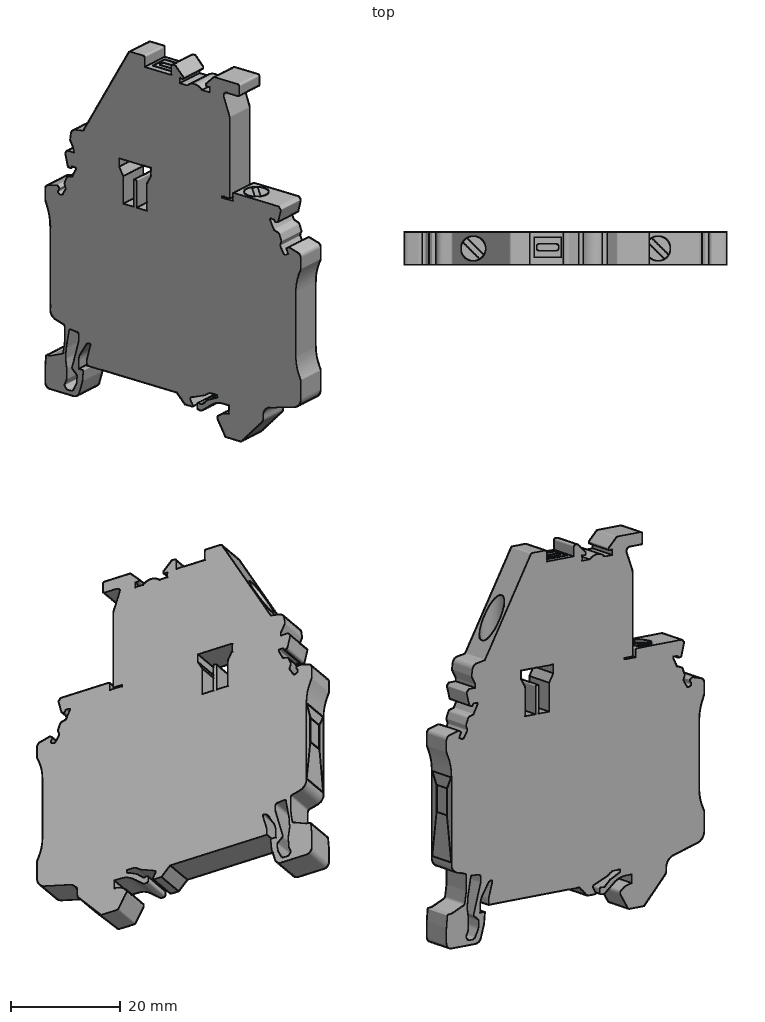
import cadquery as cq
import math

WIDTH = 58.75
HEIGHT = 71.55
THICKNESS = 6.0

SIDE_INSET = 1.15
SHOULDER_TOP_RIGHT = 49.8
SHOULDER_TOP_LEFT = 48.2
TOWER_RIGHT = 42.4
RAIL_Z = 6.9
LABEL_SEAT_Z = 69.4
LABEL_SEAT_LEFT = 22.9
LABEL_SEAT_RIGHT = 29.0
CLIP_AXIS = 34.35
CLIP_FLOOR_Z = 68.25
CLIP_HOOK_Z = 69.25

SCREW_DIAMETER = 4.5
SCREW_SLOT_WIDTH = 1.1
SCREW_SLOT_ANGLE = -45.0
LEFT_SCREW_X = 12.6
RIGHT_SCREW_X = 46.2
BORE_FLAT_WIDTH = 0.7

MARK_DEPTH = 0.1
LABEL_CENTER_X = 26.1
LABEL_CENTER_Y = 0.2
LABEL_LENGTH = 4.95
LABEL_BREADTH = 3.6
LABEL_SLOT_LENGTH = 4.0
LABEL_SLOT_BREADTH = 1.2
LABEL_SLOT_RADIUS = 0.4

WAIST_LEVELS = (16.2, 24.75, 29.85, 32.2)
WAIST_HALF_WIDTH = 1.6
WAIST_END_HALF_WIDTH = 2.85

WINDOW_X = 20.7
WINDOW_TOP = 49.8
WINDOW_BOTTOM = 41.1
WINDOW_WIDE_HALF = 3.65
WINDOW_NARROW_HALF = 2.7
WINDOW_TAPER_TOP = 48.15
WINDOW_TAPER_BOTTOM = 46.5
TONGUE_WIDTH = 0.7
TONGUE_TOP = 46.6


SHOULDER = [
    (5.1, 0.0, 0.15),
    (4.6, 0.6, 0.15),
    (5.2, 3.15, 0.35),
    (5.9, 3.35, 0.15),
    (6.15, 2.85, 0.1),
    (7.2, 2.85, 0.2),
    (6.15, 4.95, 0.35),
    (5.0, 5.2, 0.7),
    (4.45, 6.7, 0.15),
    (4.8, 7.65, 0.2),
    (3.8, 9.3, 0.4),
    (2.85, 8.8, 0.3),
    (3.35, 7.9, 0.15),
    (2.8, 7.45, 0.3),
    (0.0, 8.15, 0.9),
    (0.0, 11.1, 0.4),
    (SIDE_INSET, 13.9, 10.0),
]

LEFT_HEAD = [
    (6.6, SHOULDER_TOP_LEFT),
    (6.6, 48.9, 0.15),
    (5.7, 50.5, 0.3),
    (6.0, 52.65, 1.3),
    (8.7, 53.1, 0.35),
]

LABEL_SEAT = [
    (19.3, HEIGHT, 0.4),
    (LABEL_SEAT_LEFT, HEIGHT, 0.35),
    (LABEL_SEAT_LEFT, LABEL_SEAT_Z),
    (LABEL_SEAT_RIGHT, LABEL_SEAT_Z),
    (LABEL_SEAT_RIGHT, HEIGHT, 0.4),
]

CLIP = [
    (4.45, HEIGHT, 0.4),
    (2.6, 69.7, 0.15),
    (2.65, CLIP_HOOK_Z, 0.15),
    (3.4, CLIP_HOOK_Z, 0.0),
    (3.4, CLIP_FLOOR_Z, 0.0),
]
DOME_HALF_WIDTH = 1.7
DOME_HEIGHT = 0.7

TOWER_SIDE = [
    (44.65, HEIGHT, 0.4),
    (44.65, 69.2, 0.35),
    (40.7, 69.2, 0.7),
    (TOWER_RIGHT, 64.55, 0.7),
    (TOWER_RIGHT, 48.45),
    (40.65, 48.45),
    (40.65, 48.15),
    (43.15, 48.15),
    (43.15, SHOULDER_TOP_RIGHT, 0.2),
]

RIGHT_FOOT = [
    (WIDTH - SIDE_INSET, 19.2, 8.6),
    (WIDTH, 16.75, 0.2),
    (WIDTH, 11.4, 2.15),
    (50.1, 9.1, 2.15),
    (50.1, 6.45, 1.1),
    (45.0, 1.0, 0.2),
    (41.4, 1.0, 0.4),
    (39.35, 4.5, 0.65),
    (40.8, 5.5, 1.4),
    (42.2, 5.8),
    (42.2, 7.45),
]

SPRING_FINGER = [
    (39.35, 7.45, 4.3),
    (35.9, 4.7, 0.35),
    (34.9, 4.8, 0.4),
    (34.9, 6.2, 0.35),
    (35.9, 6.0, 0.15),
    (37.3, 7.2, 1.4),
    (39.6, 8.3, 0.2),
    (39.6, 8.8, 0.15),
    (37.8, 8.8, 0.7),
    (36.6, 8.0, 1.4),
    (33.2, 6.65, 0.35),
    (34.1, 5.0, 0.2),
    (32.1, 5.0),
    (30.3, RAIL_Z),
]

LEFT_FOOT = [
    (9.6, RAIL_Z),
    (9.6, 8.0, 2.15),
    (10.5, 11.4, 0.2),
    (9.7, 11.4, 0.7),
    (7.7, 8.15, 2.85),
    (7.7, 5.7),
    (8.8, 5.7, 0.15),
    (8.6, 3.4, 2.15),
    (7.6, 0.0, 1.4),
    (0.0, 0.0, 1.15),
    (0.0, 4.1),
    (0.2, 6.5, 0.3),
    (1.15, 6.6, 0.4),
    (4.15, 7.8, 0.6),
    (4.5, 10.4, 2.15),
    (4.5, 13.5, 0.4),
    (SIDE_INSET, 14.45, 1.8),
]

FLEX_SLOT = [
    (5.6, 13.1, 0.35),
    (7.8, 12.9, 0.6),
    (7.8, 11.45, 1.4),
    (6.15, 5.45, 0.3),
    (7.4, 4.4, 0.4),
    (7.3, 2.85, 1.4),
    (6.4, 0.9, 0.85),
    (5.0, 0.9, 0.35),
    (4.45, 1.65, 0.15),
    (4.95, 2.85, 0.35),
    (5.0, 5.0, 0.7),
    (4.7, 6.95, 2.15),
    (4.9, 9.1, 2.15),
]


def corner_arc(before, corner, after):
    """Start, middle and end of the tangent arc that rounds a corner."""
    x, z, radius = corner
    to_before = math.atan2(before[1] - z, before[0] - x)
    to_after = math.atan2(after[1] - z, after[0] - x)
    half_angle = abs(math.remainder(to_after - to_before, math.tau)) / 2
    bisector = to_before + math.remainder(to_after - to_before, math.tau) / 2
    reach = radius / math.tan(half_angle)
    middle = radius / math.sin(half_angle) - radius
    return [
        (x + length * math.cos(angle), z + length * math.sin(angle))
        for length, angle in ((reach, to_before), (middle, bisector), (reach, to_after))
    ]


def rounded_prism(corners):
    """Closed outline with rounded corners, extruded through the full thickness."""
    sketch = cq.Workplane("XZ")
    started = False
    for i, corner in enumerate(corners):
        if len(corner) == 3 and corner[2] > 0:
            start, middle, end = corner_arc(corners[i - 1], corner, corners[(i + 1) % len(corners)])
            sketch = sketch.lineTo(*start) if started else sketch.moveTo(*start)
            sketch = sketch.threePointArc(middle, end)
        else:
            point = corner[:2]
            sketch = sketch.lineTo(*point) if started else sketch.moveTo(*point)
        started = True
    return sketch.close().extrude(THICKNESS / 2, both=True)


def body_corners():
    """Clockwise corners of the body, starting at the left side wall."""
    left_shoulder = [(inset, SHOULDER_TOP_LEFT - drop, r) for inset, drop, r in reversed(SHOULDER)]
    right_shoulder = [(WIDTH - inset, SHOULDER_TOP_RIGHT - drop, r) for inset, drop, r in SHOULDER]
    left_clip = [(CLIP_AXIS - offset, z, r) for offset, z, r in CLIP]
    right_clip = [(CLIP_AXIS + offset, z, r) for offset, z, r in reversed(CLIP)]
    tower = LEFT_HEAD + LABEL_SEAT + left_clip + right_clip + TOWER_SIDE
    underside = RIGHT_FOOT + SPRING_FINGER + LEFT_FOOT
    return left_shoulder + tower + right_shoulder + underside


def clip_dome():
    """Low rounded rib across the floor of the marker clip."""
    return (
        cq.Workplane("XZ")
        .moveTo(CLIP_AXIS - DOME_HALF_WIDTH, CLIP_FLOOR_Z)
        .threePointArc((CLIP_AXIS, CLIP_FLOOR_Z + DOME_HEIGHT), (CLIP_AXIS + DOME_HALF_WIDTH, CLIP_FLOOR_Z))
        .close()
        .extrude(THICKNESS / 2, both=True)
    )


def window():
    """Funnel-shaped window around a round-tipped tongue."""
    right_half = [
        (WINDOW_WIDE_HALF, WINDOW_TOP),
        (WINDOW_WIDE_HALF, WINDOW_TAPER_TOP),
        (WINDOW_NARROW_HALF, WINDOW_TAPER_BOTTOM),
        (WINDOW_NARROW_HALF, WINDOW_BOTTOM),
    ]
    right = [(WINDOW_X + offset, z) for offset, z in right_half]
    left = [(WINDOW_X - offset, z) for offset, z in reversed(right_half)]
    half_tongue = TONGUE_WIDTH / 2
    tongue = (
        cq.Workplane("XZ")
        .moveTo(WINDOW_X - half_tongue, WINDOW_BOTTOM)
        .lineTo(WINDOW_X - half_tongue, TONGUE_TOP - half_tongue)
        .threePointArc((WINDOW_X, TONGUE_TOP), (WINDOW_X + half_tongue, TONGUE_TOP - half_tongue))
        .lineTo(WINDOW_X + half_tongue, WINDOW_BOTTOM)
        .close()
        .extrude(THICKNESS / 2, both=True)
    )
    return rounded_prism(right + left).cut(tongue)


def screw_slot(x, face_z):
    """Driver slot across a screw head whose face lies at face_z."""
    slot = (
        cq.Workplane("XY", origin=(x, 0, face_z))
        .rect(SCREW_DIAMETER, SCREW_SLOT_WIDTH)
        .extrude(-MARK_DEPTH)
        .rotate((x, 0, 0), (x, 0, 1), SCREW_SLOT_ANGLE)
    )
    head = cq.Workplane("XY", origin=(x, 0, face_z)).circle(SCREW_DIAMETER / 2).extrude(-MARK_DEPTH)
    return slot.intersect(head)


def left_screw_bore():
    """Upright bore from the sloping face down to a slotted screw head."""
    head_z = SHOULDER_TOP_RIGHT
    flat_offset = math.sqrt((SCREW_DIAMETER / 2) ** 2 - (BORE_FLAT_WIDTH / 2) ** 2)
    plane = cq.Workplane("XY", origin=(LEFT_SCREW_X, 0, head_z))
    square = plane.rect(2 * flat_offset, 2 * flat_offset).extrude(HEIGHT - head_z)
    bore = plane.circle(SCREW_DIAMETER / 2).extrude(HEIGHT - head_z).intersect(square)
    return bore.union(screw_slot(LEFT_SCREW_X, head_z))


def right_screw_head():
    """Nearly flush slotted screw head in the right shoulder."""
    head_z = SHOULDER_TOP_RIGHT - MARK_DEPTH
    plane = cq.Workplane("XY", origin=(RIGHT_SCREW_X, 0, head_z))
    return plane.circle(SCREW_DIAMETER / 2).extrude(MARK_DEPTH).union(screw_slot(RIGHT_SCREW_X, head_z))


def label_mark():
    """Shallow rectangle with a rounded slot in the label seat."""
    floor_z = LABEL_SEAT_Z - MARK_DEPTH
    plane = cq.Workplane("XY", origin=(LABEL_CENTER_X, LABEL_CENTER_Y, floor_z))
    frame = plane.rect(LABEL_LENGTH, LABEL_BREADTH).extrude(MARK_DEPTH)
    slot = plane.rect(LABEL_SLOT_LENGTH, LABEL_SLOT_BREADTH).extrude(-MARK_DEPTH)
    return frame.union(slot.edges("|Z").fillet(LABEL_SLOT_RADIUS))


def waist_mark():
    """Shallow waisted panel on the left wall with a deeper rectangle at its waist."""
    bottom, waist_bottom, waist_top, top = WAIST_LEVELS
    half_outline = [
        (WAIST_END_HALF_WIDTH, bottom),
        (WAIST_HALF_WIDTH, waist_bottom),
        (WAIST_HALF_WIDTH, waist_top),
        (WAIST_END_HALF_WIDTH, top),
    ]
    other_half = [(-y, z) for y, z in reversed(half_outline)]
    plane = cq.Workplane("YZ", origin=(SIDE_INSET, 0, 0))
    panel = plane.polyline(half_outline + other_half).close().extrude(MARK_DEPTH)
    waist = (
        plane.center(0, (waist_bottom + waist_top) / 2)
        .rect(2 * WAIST_HALF_WIDTH, waist_top - waist_bottom)
        .extrude(2 * MARK_DEPTH)
    )
    return panel.union(waist)


result = (
    rounded_prism(body_corners())
    .union(clip_dome())
    .cut(rounded_prism(FLEX_SLOT))
    .cut(window())
    .cut(left_screw_bore())
    .cut(right_screw_head())
    .cut(label_mark())
    .cut(waist_mark())
)